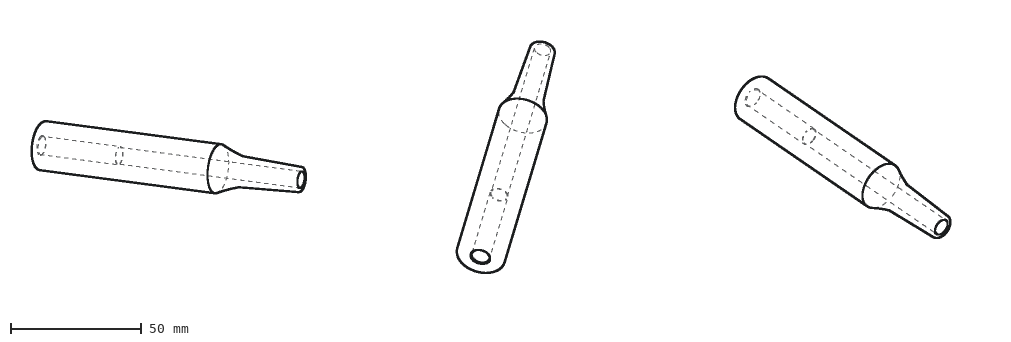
import cadquery as cq

length = 110.0
body_radius = 19.0 / 2
body_end = 74.9
rear_fillet = 1.0

nose_start = 84.3
nose_start_radius = 6.0
tip_radius = 9.8 / 2
tip_fillet = 0.5
shoulder_sag = 0.2

through_diameter = 6.4
entry_diameter = 7.0
entry_depth = 33.0
entry_chamfer = 0.3


def make_body():
    """Revolve the outer profile and round both end rims."""
    shoulder_middle = (
        (body_end + nose_start) / 2,
        (body_radius + nose_start_radius) / 2 - shoulder_sag,
    )
    profile = (
        cq.Workplane("XY")
        .lineTo(0, body_radius)
        .lineTo(body_end, body_radius)
        .threePointArc(shoulder_middle, (nose_start, nose_start_radius))
        .lineTo(length, tip_radius)
        .lineTo(length, 0)
        .close()
    )
    body = profile.revolve(360, (0, 0, 0), (1, 0, 0))
    body = body.faces("<X").edges().fillet(rear_fillet)
    return body.faces(">X").edges().fillet(tip_fillet)


def make_bore():
    """Solid of revolution that is removed along the axis."""
    through_radius = through_diameter / 2
    entry_radius = entry_diameter / 2
    return (
        cq.Workplane("XY")
        .lineTo(0, entry_radius + entry_chamfer)
        .lineTo(entry_chamfer, entry_radius)
        .lineTo(entry_depth, entry_radius)
        .lineTo(entry_depth, through_radius)
        .lineTo(length, through_radius)
        .lineTo(length, 0)
        .close()
        .revolve(360, (0, 0, 0), (1, 0, 0))
    )


result = make_body().cut(make_bore())